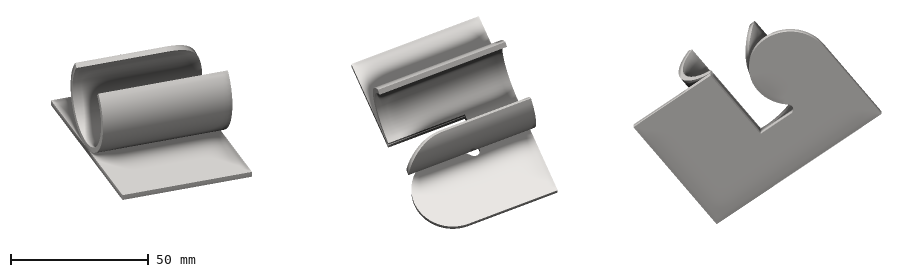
import cadquery as cq
import math

SHEET_WIDTH = 75.0
SHEET_DEPTH = SHEET_WIDTH * 2 / 3
SHEET_THICKNESS = SHEET_DEPTH / 25

TONGUE_RADIUS = 15.0
NOTCH_RIGHT_X = 2.5
NOTCH_FLOOR_Y = 0.4 * SHEET_DEPTH
NOTCH_FILLET = SHEET_THICKNESS

CLIP_INNER_RADIUS = 15.0
CLIP_OUTER_RADIUS = CLIP_INNER_RADIUS + SHEET_THICKNESS
CLIP_NEUTRAL_RADIUS = (CLIP_INNER_RADIUS + CLIP_OUTER_RADIUS) / 2
CLIP_AXIS_Z = SHEET_THICKNESS + CLIP_OUTER_RADIUS


def sheet_outline():
    """Closed flat outline on XY, centred on X, with the front edge at Y = 0."""
    half_width = SHEET_WIDTH / 2
    tongue_x = -half_width + TONGUE_RADIUS
    tongue_y = SHEET_DEPTH - TONGUE_RADIUS

    crest_x = tongue_x + TONGUE_RADIUS * math.cos(math.pi / 4)
    crest_y = tongue_y + TONGUE_RADIUS * math.sin(math.pi / 4)

    fillet_y = NOTCH_FLOOR_Y + NOTCH_FILLET
    centre_distance = TONGUE_RADIUS + NOTCH_FILLET
    fillet_x = tongue_x + math.sqrt(centre_distance**2 - (tongue_y - fillet_y) ** 2)
    tangent_share = TONGUE_RADIUS / centre_distance
    tangent_x = tongue_x + tangent_share * (fillet_x - tongue_x)
    tangent_y = tongue_y + tangent_share * (fillet_y - tongue_y)

    start_angle = math.atan2(tangent_y - fillet_y, tangent_x - fillet_x)
    floor_angle = 1.5 * math.pi
    middle_angle = (start_angle + floor_angle) / 2
    middle_x = fillet_x + NOTCH_FILLET * math.cos(middle_angle)
    middle_y = fillet_y + NOTCH_FILLET * math.sin(middle_angle)

    return (
        cq.Workplane("XY")
        .moveTo(-half_width, 0)
        .lineTo(-half_width, tongue_y)
        .threePointArc((crest_x, crest_y), (tangent_x, tangent_y))
        .threePointArc((middle_x, middle_y), (fillet_x, NOTCH_FLOOR_Y))
        .lineTo(NOTCH_RIGHT_X, NOTCH_FLOOR_Y)
        .lineTo(NOTCH_RIGHT_X, SHEET_DEPTH)
        .lineTo(half_width, SHEET_DEPTH)
        .lineTo(half_width, 0)
        .close()
    )


def make_plate():
    return sheet_outline().extrude(SHEET_THICKNESS)


def make_clip():
    """Roll the sheet outline around an axis along Y, with radial edge walls."""
    axis_plane = cq.Plane(origin=(0, 0, CLIP_AXIS_Z), xDir=(0, 0, 1), normal=(0, -1, 0))
    tube = cq.Workplane(axis_plane).circle(CLIP_INNER_RADIUS).extrude(-SHEET_DEPTH)
    inner_surface = tube.faces("%CYLINDER").val()

    bottom_angle = math.pi
    flat_face = cq.Face.makeFromWires(sheet_outline().wire().val())
    to_cylinder = cq.Matrix(
        [
            [1 / CLIP_NEUTRAL_RADIUS, 0, 0, bottom_angle],
            [0, -1, 0, 0],
            [0, 0, 1, 0],
        ]
    )
    rolled_face = cq.occ_impl.shapes.faceOn(inner_surface, flat_face.transformGeometry(to_cylinder))

    return cq.Workplane(cq.occ_impl.shapes.offset(rolled_face, SHEET_THICKNESS))


plate = make_plate()
clip = make_clip()

result = cq.Compound.makeCompound([plate.val(), clip.val()])